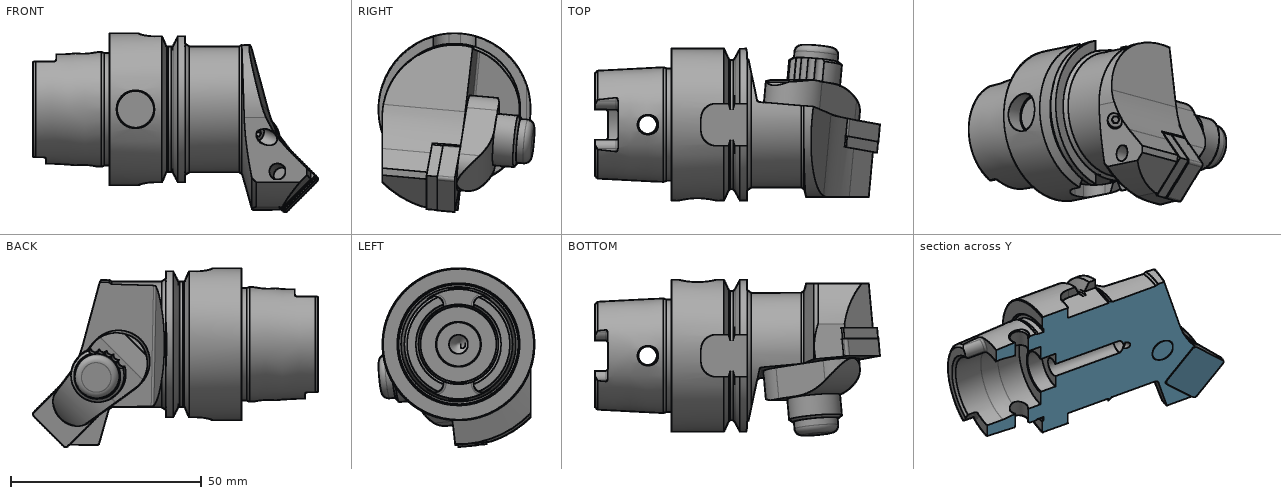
import cadquery as cq
import math


shank_length = 20.0
shank_tip_radius = 14.2
shank_root_radius = 15.1
shank_tip_chamfer = 0.7
relief_length = 2.0
relief_ramp_length = 0.8
relief_radius = 14.8
bore_radius = 10.5
bore_chamfer = 0.7
bore_length = 8.2
bore_taper_length = 4.8
inner_bore_radius = 9.95
inner_bore_floor_x = -0.5
pocket_radius = 5.75
pocket_chamfer = 0.2
pocket_floor_x = 4.0
coolant_bore_radius = 2.5
coolant_bore_end_x = 26.0
cross_hole_x = -6.15
cross_hole_radius = 2.4
cross_hole_mouth_radius = 2.8
cross_hole_chamfer = 0.5

slot_half_width = 3.95
slot_floor_height = 12.6
slot_end_fillet = 0.6
slot_round = 2.3
top_slot_depth = 6.1
bottom_slot_depth = 3.4

flange_radius = 20.0
flange_length = 20.0
flange_edge_break = 0.2
face_groove_radius = 16.1
face_groove_depth = 0.4
v_groove_start = 13.9
v_groove_floor_start = 15.1
v_groove_floor_end = 16.7
v_groove_end = 18.1
v_groove_radius = 17.0
v_groove_shoulder = 0.4
chip_hole_x = 6.95
chip_hole_radius = 5.0
chip_hole_depth = 4.5
chip_hole_floor_chamfer = 0.2
flat_start_x = 7.85
flat_half_width = 5.55
flat_height = 16.5
flat_corner_radius = 4.0

neck_radius = 16.55
neck_root_radius = 17.3
neck_root_length = 1.1
neck_end = 34.2
head_start = 34.9
head_start_radius = 17.0
head_radius = 26.95
head_cone_end = 37.5
head_cone_end_radius = 26.2
head_rim_end = 38.6
head_sole_z = -26.4
head_sole_slope = 0.095
head_reach = 65.0
head_side = 19.0
crown_center_z = -2.1
relief_wall_foot = (22.7, 6.0)
relief_wall_top = (20.6, 16.0)
relief_wall_fillet = 0.8

rake_angle = math.radians(7.3)
edge_distance = 52.04
diagonal = math.sqrt(0.5)
tool_plane = cq.Plane(
    origin=(edge_distance * diagonal, 0, -edge_distance * diagonal),
    xDir=(diagonal, 0, diagonal),
    normal=(math.sin(rake_angle) * diagonal, math.cos(rake_angle), -math.sin(rake_angle) * diagonal),
)
clear = 80.0

insert_size = 12.7
insert_thickness = 4.6
insert_corner_radius = 0.8
insert_end_u = 26.07
insert_u = insert_end_u - insert_size / 2
insert_v = -insert_size / 2
shim_thickness = 2.9
shim_end_inset = 0.1
shim_flank_inset = 0.5
shim_u_size = insert_size - 2 * shim_end_inset
shim_v_size = insert_size - shim_flank_inset
shim_v = insert_v - shim_flank_inset / 2
seat_depth = insert_thickness + shim_thickness
shim_hole_radius = 2.1
shim_hole_v = insert_v - 0.4

head_end_inset = 0.25
head_end_u = insert_end_u - head_end_inset
flank_v = -0.65
flank_corner_chamfer = 1.3
slant_top = (38.5, -38.4)
slant_angle = math.radians(29.7)
slant_fillet = 26.0

channel_mouth = cq.Vector(41.4, -head_side, -7.3)
channel_target = cq.Vector(25.0, -1.2, -0.2)
channel_direction = (channel_target - channel_mouth).normalized()
channel_radius = 2.0
channel_depth = 10.0
plug_depth = 3.4
plug_length = 4.0
plug_socket_radius = 1.0
plug_socket_depth = 1.5
plug_socket_sides = 6
duct_radius = 0.9

clamp_tail = (19.7, -26.2)
clamp_tail_radius = 8.2
clamp_nose = (19.9, -10.6)
clamp_nose_radius = 6.0
clamp_height = 8.2
clamp_tail_height = 7.0
clamp_tail_chamfer = 1.0
clamp_flat_end_v = -19.0
screw_u = 21.0
screw_v = -21.3
nut_radius = 7.0
nut_top_radius = 6.1
nut_side_height = 5.4
nut_height = 6.1
flute_radius = 1.2
flute_angles = (-63, -45, -27, -9, 9)
upward_angle = -45.0
screw_head_radius = 5.8
screw_head_height = 3.66
screw_head_round = 1.9
screw_shank_radius = 3.0
screw_reach = 6.0


def on_tool_plane(u, v, height=0.0):
    """Workplane parallel to the tool plane, centred on (u, v) at the given height."""
    center = tool_plane.toWorldCoords((u, v, height))
    return cq.Workplane(cq.Plane(origin=center, xDir=tool_plane.xDir, normal=tool_plane.zDir))


def revolve_about_x(outline):
    return outline.close().revolve(360, (0, 0, 0), (1, 0, 0))


def make_shank_flange_neck():
    return revolve_about_x(
        cq.Workplane("XY")
        .moveTo(-shank_length, 0)
        .lineTo(-shank_length, shank_tip_radius - shank_tip_chamfer)
        .lineTo(-shank_length + shank_tip_chamfer, shank_tip_radius)
        .lineTo(-relief_length, shank_root_radius)
        .lineTo(relief_ramp_length - relief_length, relief_radius)
        .lineTo(face_groove_depth, relief_radius)
        .lineTo(face_groove_depth, face_groove_radius - face_groove_depth)
        .lineTo(0, face_groove_radius)
        .lineTo(0, flange_radius - flange_edge_break)
        .lineTo(flange_edge_break, flange_radius)
        .lineTo(v_groove_start, flange_radius)
        .lineTo(v_groove_floor_start, v_groove_radius + v_groove_shoulder)
        .lineTo(v_groove_floor_start + v_groove_shoulder, v_groove_radius)
        .lineTo(v_groove_floor_end - v_groove_shoulder, v_groove_radius)
        .lineTo(v_groove_floor_end, v_groove_radius + v_groove_shoulder)
        .lineTo(v_groove_end, flange_radius)
        .lineTo(flange_length, flange_radius)
        .lineTo(flange_length, neck_root_radius)
        .lineTo(flange_length + neck_root_length, neck_radius)
        .lineTo(neck_end, neck_radius)
        .lineTo(head_start, head_start_radius)
        .lineTo(head_start, 0)
    )


def make_head():
    """Cone-backed disc trimmed to a crowned section with a flat -Y side."""
    turned = revolve_about_x(
        cq.Workplane("XY")
        .moveTo(head_start, 0)
        .lineTo(head_start, head_start_radius)
        .lineTo(head_cone_end, head_cone_end_radius)
        .lineTo(head_rim_end, head_radius)
        .lineTo(head_reach, head_radius)
        .lineTo(head_reach, 0)
    )
    section = (
        cq.Workplane("YZ")
        .moveTo(-head_side, crown_center_z)
        .threePointArc((0, crown_center_z + head_side), (head_side, crown_center_z))
        .lineTo(head_side, head_sole_z - head_sole_slope * head_side)
        .lineTo(-head_side, head_sole_z + head_sole_slope * head_side)
        .close()
        .extrude(clear)
    )
    return turned.intersect(section)


def front_cutter():
    """Everything beyond the head's slanted front, end face and flank."""
    corner_v = slant_top[1] + (slant_top[0] - head_end_u) / math.tan(slant_angle)
    far_top = (slant_top[0] + clear * math.sin(slant_angle), slant_top[1] - clear * math.cos(slant_angle))
    cutter = (
        cq.Workplane(tool_plane)
        .moveTo(*far_top)
        .lineTo(head_end_u, corner_v)
        .lineTo(head_end_u, flank_v - flank_corner_chamfer)
        .lineTo(head_end_u - flank_corner_chamfer, flank_v)
        .lineTo(-clear, flank_v)
        .lineTo(-clear, clear)
        .lineTo(clear, clear)
        .lineTo(clear, far_top[1])
        .close()
        .extrude(clear, both=True)
    )
    slant_foot = tool_plane.toWorldCoords((head_end_u, corner_v, 0))
    return cutter.edges(cq.selectors.NearestToPointSelector(slant_foot.toTuple())).fillet(slant_fillet)


def clamp_side_cutter():
    """Space above the tool plane, from the sloping wall in the neck to the front."""
    above_plane = cq.Workplane(tool_plane).rect(4 * clear, 4 * clear).extrude(clear)
    wall_foot_x, wall_foot_y = relief_wall_foot
    wall_top_x, wall_top_y = relief_wall_top
    lean = (wall_top_x - wall_foot_x) / (wall_top_y - wall_foot_y)
    side = (
        cq.Workplane("XY")
        .moveTo(wall_foot_x - lean * clear, wall_foot_y - clear)
        .lineTo(wall_foot_x + lean * clear / 2, wall_foot_y + clear / 2)
        .lineTo(clear, clear / 2)
        .lineTo(clear, -clear)
        .close()
        .extrude(clear, both=True)
    )
    space = above_plane.intersect(side)
    foot_edge = cq.selectors.NearestToPointSelector((wall_foot_x, wall_foot_y, neck_radius))
    return space.edges(foot_edge).fillet(relief_wall_fillet)


def drive_slot_cutter(depth, side):
    """Slot with rounded, flared mouth; side is +1 for the top and -1 for the bottom."""
    half = (
        cq.Workplane("YZ", origin=(-shank_length, 0, 0))
        .moveTo(0, 0)
        .lineTo(slot_half_width, 0)
        .lineTo(slot_half_width, slot_floor_height - slot_round)
        .tangentArcPoint((slot_half_width + slot_round, slot_floor_height), relative=False)
        .lineTo(shank_root_radius, slot_floor_height)
        .lineTo(shank_root_radius, flange_radius)
        .lineTo(0, flange_radius)
        .close()
        .extrude(depth)
    )
    cutter = half.union(half.mirror("XZ"))
    cutter = cutter.faces(">X").edges().fillet(slot_end_fillet)
    if side < 0:
        cutter = cutter.mirror("XY")
    return cutter


def flange_flat_cutter(side):
    """Round-cornered flat cut into the flange, open toward the neck."""
    length = flange_length - flat_start_x
    return (
        cq.Workplane("XY", origin=(flat_start_x + length, 0, side * flat_height))
        .rect(2 * length, 2 * flat_half_width)
        .extrude(side * flange_radius)
        .edges("|Z and <X")
        .fillet(flat_corner_radius)
        .intersect(cq.Workplane("XY").box(2 * flange_length, clear, clear))
    )


def bore_cutter():
    start = -shank_length
    return revolve_about_x(
        cq.Workplane("XY")
        .moveTo(start, 0)
        .lineTo(start, bore_radius + bore_chamfer)
        .lineTo(start + bore_chamfer, bore_radius)
        .lineTo(start + bore_length, bore_radius)
        .lineTo(start + bore_length + bore_taper_length, inner_bore_radius)
        .lineTo(inner_bore_floor_x, inner_bore_radius)
        .lineTo(inner_bore_floor_x, pocket_radius + pocket_chamfer)
        .lineTo(inner_bore_floor_x + pocket_chamfer, pocket_radius)
        .lineTo(pocket_floor_x, pocket_radius)
        .lineTo(pocket_floor_x, coolant_bore_radius)
        .lineTo(coolant_bore_end_x - coolant_bore_radius, coolant_bore_radius)
        .lineTo(coolant_bore_end_x, 0)
    )


def cross_hole_cutter():
    """Hole through both shank walls with a chamfered mouth at each end."""
    taper = (shank_root_radius - shank_tip_radius) / (shank_length - relief_length)
    surface = shank_root_radius + taper * (cross_hole_x + relief_length)
    widening = cross_hole_mouth_radius - cross_hole_radius
    half = (
        cq.Workplane("XZ", origin=(cross_hole_x, 0, 0))
        .lineTo(cross_hole_radius, 0)
        .lineTo(cross_hole_radius, surface - cross_hole_chamfer)
        .lineTo(cross_hole_radius + widening, surface)
        .lineTo(cross_hole_radius + widening, flange_radius)
        .lineTo(0, flange_radius)
        .close()
        .revolve(360, (0, 0, 0), (0, 1, 0))
    )
    return half.union(half.mirror("XY"))


def chip_hole_cutter():
    return (
        cq.Workplane("XZ", origin=(chip_hole_x, -flange_radius + chip_hole_depth, 0))
        .circle(chip_hole_radius)
        .extrude(2 * chip_hole_depth)
        .faces(">Y")
        .chamfer(chip_hole_floor_chamfer)
    )


def along_channel(depth):
    """Workplane across the coolant channel, at a depth below its mouth."""
    center = channel_mouth + channel_direction * depth
    return cq.Workplane(cq.Plane(origin=center, normal=channel_direction))


def channel_cutter():
    mouth_allowance = 2 * channel_radius
    wide = along_channel(-mouth_allowance).circle(channel_radius).extrude(mouth_allowance + channel_depth)
    duct_length = (channel_target - channel_mouth).Length
    duct = along_channel(0).circle(duct_radius).extrude(duct_length)
    return wide.union(duct)


def seat_cutter():
    """Insert and shim seat, open upward and toward the end and flank."""
    insert_space = (
        on_tool_plane(insert_u, insert_v, -insert_thickness)
        .rect(insert_size, insert_size)
        .extrude(clear)
    )
    shim_hole = on_tool_plane(insert_u, shim_hole_v, -seat_depth).circle(shim_hole_radius).extrude(-clear)
    return insert_space.union(make_shim()).union(shim_hole)


def make_holder():
    holder = make_shank_flange_neck().union(make_head())
    holder = holder.cut(front_cutter())
    holder = holder.cut(clamp_side_cutter())
    holder = holder.cut(bore_cutter())
    for depth, side in ((top_slot_depth, 1), (bottom_slot_depth, -1)):
        holder = holder.cut(drive_slot_cutter(depth, side))
        holder = holder.cut(flange_flat_cutter(side))
    holder = holder.cut(cross_hole_cutter())
    holder = holder.cut(chip_hole_cutter())
    holder = holder.cut(channel_cutter())
    holder = holder.cut(seat_cutter())
    screw_hole = on_tool_plane(screw_u, screw_v).circle(screw_shank_radius).extrude(-screw_reach)
    return holder.cut(screw_hole)


def make_insert():
    plate = (
        on_tool_plane(insert_u, insert_v, -insert_thickness)
        .rect(insert_size, insert_size)
        .extrude(insert_thickness)
    )
    corners = cq.selectors.ParallelDirSelector(tool_plane.zDir)
    return plate.edges(corners).fillet(insert_corner_radius)


def make_shim():
    base = on_tool_plane(insert_u, shim_v, -seat_depth)
    return base.rect(shim_u_size, shim_v_size).extrude(shim_thickness)


def make_coolant_plug():
    plug = along_channel(plug_depth).circle(channel_radius).extrude(plug_length)
    socket = along_channel(plug_depth).polygon(plug_socket_sides, 2 * plug_socket_radius).extrude(plug_socket_depth)
    return plug.cut(socket)


def make_clamp():
    """Round-ended clamp with a nose that curves down onto the insert."""
    tail_u, tail_v = clamp_tail
    nose_u, nose_v = clamp_nose
    axis_angle = math.atan2(nose_v - tail_v, nose_u - tail_u)
    end_distance = math.hypot(nose_u - tail_u, nose_v - tail_v)
    tangent_angle = math.acos((clamp_tail_radius - clamp_nose_radius) / end_distance)

    def rim_point(center, radius, angle):
        return (center[0] + radius * math.cos(angle), center[1] + radius * math.sin(angle))

    outline = (
        cq.Workplane(tool_plane)
        .moveTo(*rim_point(clamp_tail, clamp_tail_radius, axis_angle + tangent_angle))
        .threePointArc(
            rim_point(clamp_tail, clamp_tail_radius, axis_angle + math.pi),
            rim_point(clamp_tail, clamp_tail_radius, axis_angle - tangent_angle),
        )
        .lineTo(*rim_point(clamp_nose, clamp_nose_radius, axis_angle - tangent_angle))
        .threePointArc(
            rim_point(clamp_nose, clamp_nose_radius, axis_angle),
            rim_point(clamp_nose, clamp_nose_radius, axis_angle + tangent_angle),
        )
        .close()
        .extrude(clamp_height)
    )
    tail_end = tail_v - clamp_tail_radius
    nose_end = nose_v + clamp_nose_radius
    profile_plane = cq.Plane(
        origin=tool_plane.toWorldCoords((0, 0, 0)),
        xDir=tool_plane.yDir,
        normal=tool_plane.xDir,
    )
    profile = (
        cq.Workplane(profile_plane)
        .moveTo(tail_end, 0)
        .lineTo(tail_end, clamp_tail_height - clamp_tail_chamfer)
        .lineTo(tail_end + clamp_tail_chamfer, clamp_tail_height)
        .lineTo(screw_v - nut_radius, clamp_height)
        .lineTo(clamp_flat_end_v, clamp_height)
        .tangentArcPoint((nose_end, 0), relative=False)
        .close()
        .extrude(clear)
    )
    screw_hole = on_tool_plane(screw_u, screw_v).circle(screw_shank_radius).extrude(clamp_height)
    return outline.intersect(profile).cut(screw_hole)


def make_nut():
    """Collar on top of the clamp with a chamfered rim and grip flutes."""
    base = on_tool_plane(screw_u, screw_v, clamp_height)
    nut = base.circle(nut_radius).extrude(nut_height)
    rim_drop = nut_height - nut_side_height
    nut = nut.edges(cq.selectors.DirectionMinMaxSelector(tool_plane.zDir)).chamfer(
        rim_drop, nut_radius - nut_top_radius
    )
    nut = nut.cut(base.circle(screw_shank_radius).extrude(nut_height))
    for angle in flute_angles:
        direction = math.radians(upward_angle + angle)
        u = screw_u + nut_radius * math.cos(direction)
        v = screw_v + nut_radius * math.sin(direction)
        nut = nut.cut(on_tool_plane(u, v, clamp_height).circle(flute_radius).extrude(nut_height))
    return nut


def make_clamp_screw():
    """Dome-headed screw through nut and clamp into the holder."""
    head_base = clamp_height + nut_height
    head = on_tool_plane(screw_u, screw_v, head_base).circle(screw_head_radius).extrude(screw_head_height)
    head = head.edges(cq.selectors.DirectionMinMaxSelector(tool_plane.zDir)).fillet(screw_head_round)
    shank = (
        on_tool_plane(screw_u, screw_v, -screw_reach)
        .circle(screw_shank_radius)
        .extrude(screw_reach + head_base)
    )
    return head.union(shank)


holder = make_holder()
insert = make_insert()
shim = make_shim()
coolant_plug = make_coolant_plug()
clamp = make_clamp()
nut = make_nut()
clamp_screw = make_clamp_screw()

result = cq.Compound.makeCompound(
    [
        holder.val(),
        insert.val(),
        shim.val(),
        coolant_plug.val(),
        clamp.val(),
        nut.val(),
        clamp_screw.val(),
    ]
)